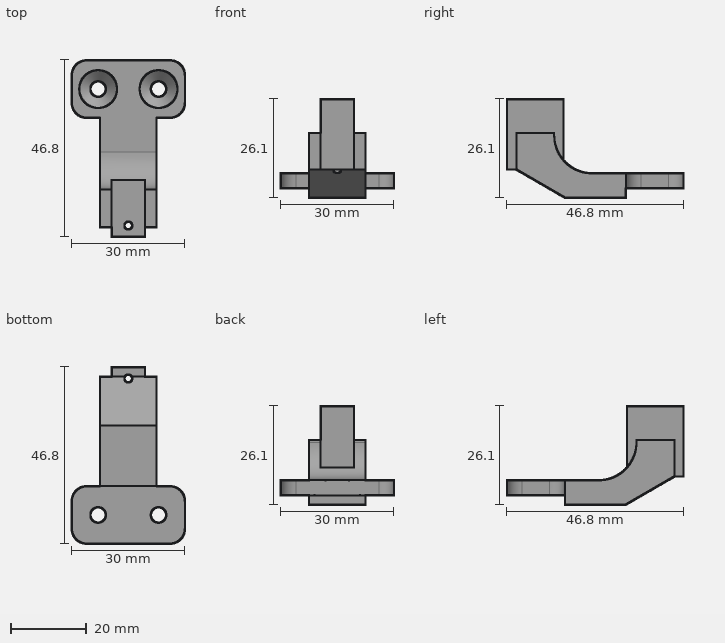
import cadquery as cq

total_length = 46.75
total_height = 26.15

plate_width = 30.0
plate_length = 15.3
plate_thickness = 4.0
plate_bottom = 2.52
plate_top = plate_bottom + plate_thickness
plate_corner_radius = 4.0

screw_spacing = 16.0
screw_diameter = 4.0
sink_diameter = 10.0
sink_angle = 90

arm_width = 15.0
arm_front = 2.5
arm_back = total_length - plate_length
arm_top = 17.2
arm_post_depth = 10.0
arm_curve_radius = 10.0
arm_slope_length = 12.9

block_width = 8.9
block_length = 15.0
block_bottom = 7.5
pin_diameter = 2.0
pin_from_front = 3.0


def make_plate():
    """Rounded plate with two countersunk holes."""
    plate_center = total_length - plate_length / 2
    return (
        cq.Workplane("XY", origin=(0, plate_center, plate_bottom))
        .rect(plate_width, plate_length)
        .extrude(plate_thickness)
        .edges("|Z")
        .fillet(plate_corner_radius)
        .faces(">Z")
        .workplane(origin=(0, plate_center, plate_top))
        .pushPoints([(-screw_spacing / 2, 0), (screw_spacing / 2, 0)])
        .cskHole(screw_diameter, sink_diameter, sink_angle)
    )


def make_arm():
    """Side profile rising from the plate, with a concave top and a sloped underside."""
    post_back = arm_front + arm_post_depth
    curve_end = post_back + arm_curve_radius
    diagonal = arm_curve_radius * 0.5 ** 0.5
    curve_middle = (curve_end - diagonal, plate_top + arm_curve_radius - diagonal)
    return (
        cq.Workplane("YZ")
        .moveTo(arm_back, 0)
        .lineTo(arm_front + arm_slope_length, 0)
        .lineTo(arm_front, block_bottom)
        .lineTo(arm_front, arm_top)
        .lineTo(post_back, arm_top)
        .lineTo(post_back, plate_top + arm_curve_radius)
        .threePointArc(curve_middle, (curve_end, plate_top))
        .lineTo(arm_back, plate_top)
        .close()
        .extrude(arm_width / 2, both=True)
    )


def make_block():
    """Upright block carried on the front of the arm."""
    return (
        cq.Workplane("XY", origin=(0, block_length / 2, block_bottom))
        .rect(block_width, block_length)
        .extrude(total_height - block_bottom)
    )


pin_hole = (
    cq.Workplane("XY", origin=(0, pin_from_front, 0))
    .circle(pin_diameter / 2)
    .extrude(total_height)
)

result = make_plate().union(make_arm()).union(make_block()).cut(pin_hole)